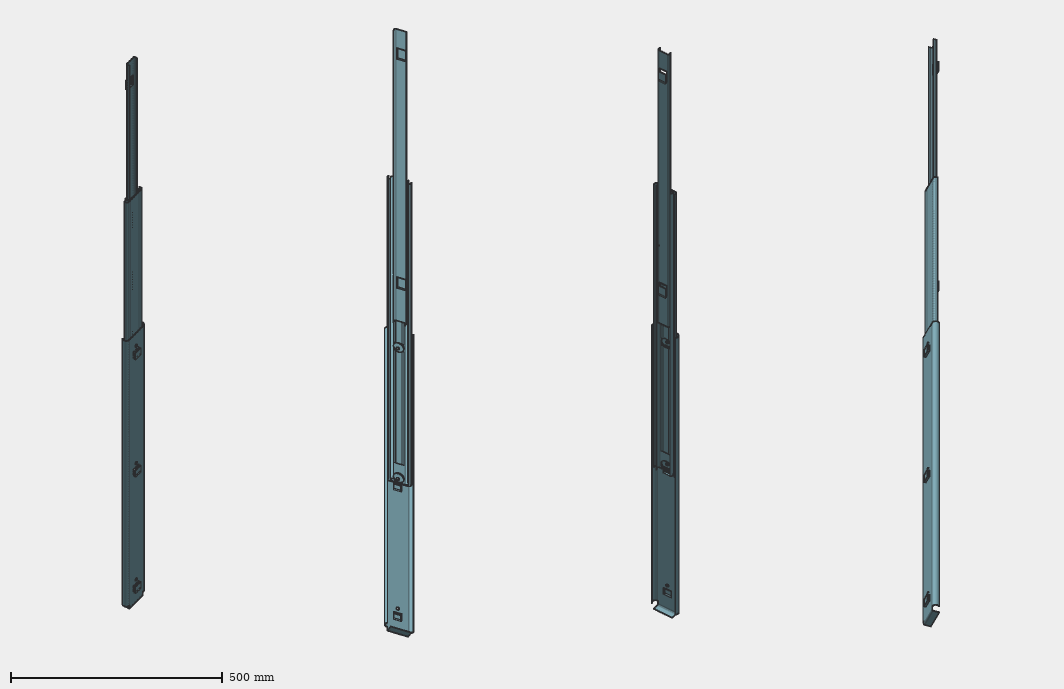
import cadquery as cq
import math


TOTAL_LENGTH = 1828.8
SLIDE_WIDTH = 76.19
SLIDE_THICKNESS = 19.05
OVERALL_THICKNESS = 29.79
BACK = SLIDE_THICKNESS / 2
HOOK_REACH = OVERALL_THICKNESS / 2

OUTER_SHEET = 2.4
MIDDLE_SHEET = 2.2
INNER_SHEET = 2.2

SQUARE_SWEEP = math.radians(90)

OUTER_TOP = TOTAL_LENGTH / 2
MIDDLE_BOTTOM = TOTAL_LENGTH / 4
MIDDLE_TOP = 1378.0
INNER_BOTTOM = 940.0

FLANGE_START = 13.0
END_STOP_WIDTH = 54.0
END_STOP_BEND = 3.0
OUTER_SWEEP = math.radians(142)

WIDE_BACK = 6.0
WIDE_WIDTH = 63.0
WIDE_CORNER = 6.0
WIDE_LIP = 4.5
NARROW_BACK = WIDE_BACK - MIDDLE_SHEET
NARROW_WIDTH = 48.0
NARROW_CORNER = 6.6
NARROW_SWEEP = math.radians(160)

GROOVE_WIDTHS = (27.0, 16.0)
GROOVE_STEP = 0.7
GROOVE_SPANS = ((515.0, 860.0), (882.0, MIDDLE_TOP))
ACCESS_HOLE_DIAMETER = 28.0

INNER_WIDTH = 33.0
INNER_CORNER = 3.5
INNER_LIP = 7.0
RACEWAY_RADIUS = 2.6
RACEWAY_X = -1.2
RACEWAY_Y = 18.3

HOOK_WIDTH = 22.0
HOOK_SHEET = 2.4
OUTER_HOOK_HEIGHT = 22.0
OUTER_HOOK_BASES = (43.0, 438.0, 836.0)
OUTER_HOOK_HOLE_RISE = 35.0
OUTER_HOOK_HOLE_DIAMETER = 8.0
INNER_HOOK_HEIGHT = 30.0
INNER_WINDOW_HEIGHT = 35.0
INNER_HOOK_BASES = (1038.0, 1736.0)

def box(x_range, y_range, z_range):
    """Box between pairs of limits along X, Y and Z."""
    sizes = [high - low for low, high in (x_range, y_range, z_range)]
    corner = (x_range[0], y_range[0], z_range[0])
    return cq.Workplane("XY").box(*sizes, centered=False).translate(corner)


def channel(back, facing, width, corner, sheet, sweep, lip, bottom, top):
    """Sheet channel whose web has its outside at X = back and whose flanges run toward `facing` (+1 or -1).

    Each flange is an arc of radius `corner` turning through `sweep`, then a straight lip.
    """
    center_x = back + facing * corner
    center_y = width / 2 - corner

    def flange_point(radius, angle, side, run=0.0):
        """Point on a flange arc after turning through `angle`, then moving `run` along the tangent."""
        x = center_x - facing * (radius * math.cos(angle) - run * math.sin(angle))
        y = center_y + radius * math.sin(angle) + run * math.cos(angle)
        return (x, side * y)

    def trace_out(profile, radius, side):
        """Follow a flange face from the web to its rim."""
        rim = flange_point(radius, sweep, side)
        profile = profile.threePointArc(flange_point(radius, sweep / 2, side), rim)
        return profile.lineTo(*flange_point(radius, sweep, side, lip)) if lip else profile

    def trace_back(profile, radius, side):
        """Follow a flange face from its rim to the web."""
        profile = profile.lineTo(*flange_point(radius, sweep, side, lip))
        if lip:
            profile = profile.lineTo(*flange_point(radius, sweep, side))
        return profile.threePointArc(flange_point(radius, sweep / 2, side), flange_point(radius, 0, side))

    outside = corner
    inside = corner - sheet
    profile = cq.Workplane("XY").moveTo(*flange_point(outside, 0, -1)).lineTo(*flange_point(outside, 0, 1))
    profile = trace_out(profile, outside, 1)
    profile = trace_back(profile, inside, 1)
    profile = profile.lineTo(*flange_point(inside, 0, -1))
    profile = trace_out(profile, inside, -1)
    profile = trace_back(profile, outside, -1).close()
    return profile.extrude(top - bottom).translate((0, 0, bottom))


def web_hole(x, diameter, z):
    """Cutter along X for a round hole through any web that lies near X = x."""
    reach = 2 * OUTER_SHEET
    return cq.Workplane("YZ", origin=(x, 0, z)).circle(diameter / 2).extrude(reach, both=True)


def add_hook(member, side, sheet, base, height, window_height):
    """Lance an L-shaped hook out of a web whose outside is at X = side * BACK."""
    half_width = HOOK_WIDTH / 2
    web_inside = side * (BACK - sheet)
    window = box(
        sorted((web_inside, side * BACK)),
        (-half_width, half_width),
        (base, base + window_height),
    )
    leg_top = base + HOOK_SHEET
    hook = (
        cq.Workplane("XZ")
        .moveTo(web_inside, base)
        .lineTo(side * HOOK_REACH, base)
        .lineTo(side * HOOK_REACH, base + height)
        .lineTo(side * (HOOK_REACH - HOOK_SHEET), base + height)
        .lineTo(side * (HOOK_REACH - HOOK_SHEET), leg_top)
        .lineTo(web_inside, leg_top)
        .close()
        .extrude(half_width, both=True)
    )
    return member.cut(window).union(hook)


def make_outer_channel():
    """Outer channel with its bent end stop, hooks and the hole above each hook."""
    body = channel(
        BACK, -1, SLIDE_WIDTH, BACK, OUTER_SHEET, OUTER_SWEEP, 0, FLANGE_START, OUTER_TOP
    )
    half_stop = END_STOP_WIDTH / 2
    web_inside = BACK - OUTER_SHEET
    stop = box((-BACK, BACK), (-half_stop, half_stop), (0, FLANGE_START))
    stop = stop.edges(">X and <Z").fillet(END_STOP_BEND)
    inside_bend = box((-BACK, web_inside), (-half_stop, half_stop), (OUTER_SHEET, FLANGE_START))
    inside_bend = inside_bend.edges(">X and <Z").fillet(END_STOP_BEND - OUTER_SHEET)
    body = body.union(stop.cut(inside_bend))

    for base in OUTER_HOOK_BASES:
        body = add_hook(body, 1, OUTER_SHEET, base, OUTER_HOOK_HEIGHT, OUTER_HOOK_HEIGHT)
        body = body.cut(web_hole(BACK, OUTER_HOOK_HOLE_DIAMETER, base + OUTER_HOOK_HOLE_RISE))
    return body


def cut_access_holes(body):
    """Open the middle rail's webs in line with the holes above the two upper outer hooks."""
    for base in OUTER_HOOK_BASES[1:]:
        body = body.cut(web_hole(NARROW_BACK, ACCESS_HOLE_DIAMETER, base + OUTER_HOOK_HOLE_RISE))
    return body


def make_wide_channel():
    """Half of the middle rail that runs inside the outer channel."""
    body = channel(
        WIDE_BACK, -1, WIDE_WIDTH, WIDE_CORNER, MIDDLE_SHEET, SQUARE_SWEEP, WIDE_LIP,
        MIDDLE_BOTTOM, MIDDLE_TOP,
    )
    return cut_access_holes(body)


def make_narrow_channel():
    """Half of the middle rail that carries the inner channel, lying against the wide web."""
    body = channel(
        NARROW_BACK, -1, NARROW_WIDTH, NARROW_CORNER, MIDDLE_SHEET, NARROW_SWEEP, 0,
        MIDDLE_BOTTOM, MIDDLE_TOP,
    )
    web_inside = NARROW_BACK - MIDDLE_SHEET
    for span in GROOVE_SPANS:
        for step, width in enumerate(GROOVE_WIDTHS, start=1):
            depth = step * GROOVE_STEP
            body = body.cut(box((web_inside, web_inside + depth), (-width / 2, width / 2), span))
    return cut_access_holes(body)


def make_inner_channel():
    """Inner channel, facing the middle rail, with its hooks on the outside."""
    body = channel(
        -BACK, 1, INNER_WIDTH, INNER_CORNER, INNER_SHEET, SQUARE_SWEEP, INNER_LIP, INNER_BOTTOM, TOTAL_LENGTH
    )
    for side in (1, -1):
        raceway = cq.Workplane("XY", origin=(RACEWAY_X, side * RACEWAY_Y, 0))
        body = body.cut(raceway.circle(RACEWAY_RADIUS).extrude(TOTAL_LENGTH))
    for base in INNER_HOOK_BASES:
        body = add_hook(body, -1, INNER_SHEET, base, INNER_HOOK_HEIGHT, INNER_WINDOW_HEIGHT)
    return body


outer_channel = make_outer_channel()
wide_channel = make_wide_channel()
narrow_channel = make_narrow_channel()
inner_channel = make_inner_channel()

result = cq.Compound.makeCompound(
    [outer_channel.val(), wide_channel.val(), narrow_channel.val(), inner_channel.val()]
)